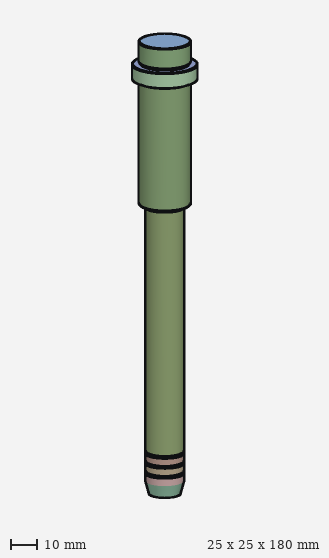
import cadquery as cq
import math

TOTAL_LENGTH = 180.0
COLLAR_DIAMETER = 25.0
BODY_DIAMETER = 20.0
STEM_DIAMETER = 15.0

COLLAR_TOP_DEPTH = 9.0
COLLAR_HEIGHT = 6.0
BODY_END_DEPTH = 65.0

HEAD_CHAMFER = 0.4
COLLAR_CHAMFER = 0.4
BODY_END_CHAMFER = 0.5
NECK_WIDTH = 1.0
NECK_DEPTH = 0.7
STEM_NECK_WIDTH = 1.0
STEM_NECK_DEPTH = 0.5

GROOVE_COUNT = 3
GROOVE_PITCH = 4.0
GROOVE_WIDTH = 1.0
GROOVE_DEPTH = 0.4
LOWEST_GROOVE_HEIGHT = 8.6

TIP_LENGTH = 5.0
TIP_TAPER_ANGLE = 15.0

COLLAR_TOP = TOTAL_LENGTH - COLLAR_TOP_DEPTH
COLLAR_BOTTOM = COLLAR_TOP - COLLAR_HEIGHT
BODY_END = TOTAL_LENGTH - BODY_END_DEPTH
TIP_DIAMETER = STEM_DIAMETER - 2 * TIP_LENGTH * math.tan(math.radians(TIP_TAPER_ANGLE))


def cylinder(diameter, bottom, top):
    """Cylinder about Z between two heights."""
    return cq.Workplane("XY").workplane(offset=bottom).circle(diameter / 2).extrude(top - bottom)


def ring_cutter(points):
    """Revolve (radius, height) points about the axis."""
    return cq.Workplane("XZ").polyline(points).close().revolve(360, (0, 0, 0), (0, 1, 0))


def bevelled_neck(diameter, bottom, width, depth, square_at_top):
    """Neck cutter sloping from the surface down to a square wall at one end."""
    outer = diameter / 2
    inner = outer - depth
    top = bottom + width
    deep_height = top if square_at_top else bottom
    return ring_cutter([(outer, bottom), (inner, deep_height), (outer, top)])


def ring_groove(center_height):
    """Shallow V-shaped ring cutter for the stem."""
    outer = STEM_DIAMETER / 2
    bottom = center_height - GROOVE_WIDTH / 2
    top = center_height + GROOVE_WIDTH / 2
    return ring_cutter([(outer, bottom), (outer - GROOVE_DEPTH, center_height), (outer, top)])


def make_head_and_body():
    """Head and body of one diameter, relieved on both sides of the collar."""
    body = cylinder(BODY_DIAMETER, BODY_END, TOTAL_LENGTH)
    body = body.faces(">Z").chamfer(HEAD_CHAMFER)
    body = body.faces("<Z").chamfer(BODY_END_CHAMFER)
    body = body.cut(bevelled_neck(BODY_DIAMETER, COLLAR_TOP, NECK_WIDTH, NECK_DEPTH, False))
    lower_neck_bottom = COLLAR_BOTTOM - NECK_WIDTH
    return body.cut(bevelled_neck(BODY_DIAMETER, lower_neck_bottom, NECK_WIDTH, NECK_DEPTH, True))


def make_collar():
    """Collar with its upper edge broken."""
    return cylinder(COLLAR_DIAMETER, COLLAR_BOTTOM, COLLAR_TOP).faces(">Z").chamfer(COLLAR_CHAMFER)


def make_stem():
    """Stem with its relief neck, ring grooves and tapered tip."""
    stem = cylinder(STEM_DIAMETER, TIP_LENGTH, BODY_END)
    neck_bottom = BODY_END - STEM_NECK_WIDTH
    stem = stem.cut(bevelled_neck(STEM_DIAMETER, neck_bottom, STEM_NECK_WIDTH, STEM_NECK_DEPTH, True))
    for index in range(GROOVE_COUNT):
        stem = stem.cut(ring_groove(LOWEST_GROOVE_HEIGHT + index * GROOVE_PITCH))
    tip = (
        cq.Workplane("XY")
        .circle(TIP_DIAMETER / 2)
        .workplane(offset=TIP_LENGTH)
        .circle(STEM_DIAMETER / 2)
        .loft()
    )
    return stem.union(tip)


pin = make_head_and_body().union(make_collar()).union(make_stem())

result = pin.translate((0, 0, -TOTAL_LENGTH / 2))